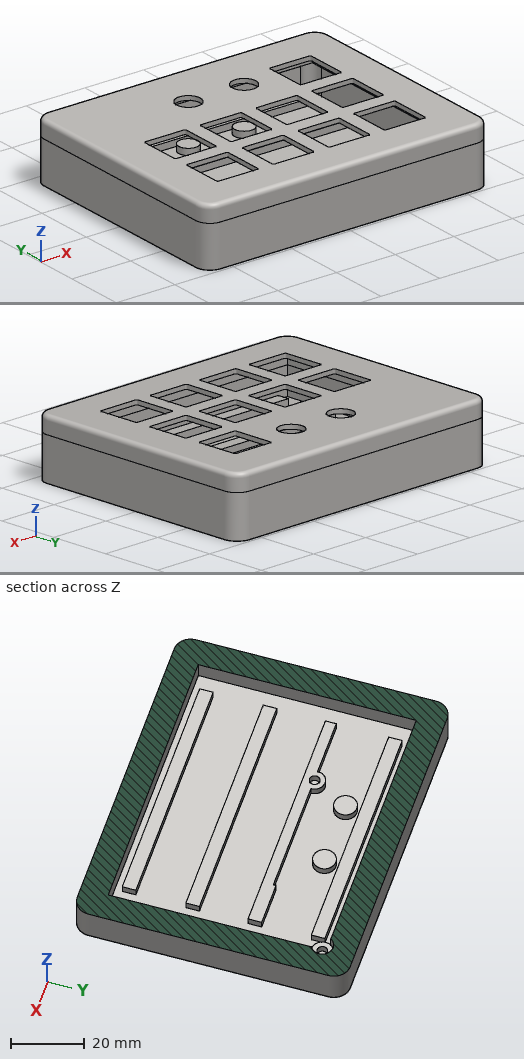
import cadquery as cq

case_length = 97.0
case_width = 78.0
case_height = 19.5
corner_radius = 4.8
top_edge_radius = 1.5
lid_height = 5.5
lid_plate = 1.5
base_height = case_height - lid_height

wall = 8.0
floor_thickness = 4.85
cavity_length = case_length - 2 * wall
cavity_width = case_width - 2 * wall

key_pitch = 19.0
window_size = 14.1
window_corner_radius = 0.5
front_row_y = -19.8
column_count = 4
column_xs = [(column - (column_count - 1) / 2) * key_pitch for column in range(column_count)]
middle_row_y = front_row_y + key_pitch
back_row_y = middle_row_y + key_pitch

light_hole_diameter = 8.0
light_post_diameter = 6.5
light_y = 20.8
light_positions = [(x, light_y) for x in column_xs[1:3]]

support_height = 2.1
support_top = floor_thickness + support_height
rail_length = 69.8
rail_width = 3.9
narrow_rail_width = 3.1
outer_rail_inner_y = 25.0
front_key_rail_y = -8.8
back_key_rail_front_y = 7.0
rail_pad_start_x = 21.8
rail_pad_width = 3.9

boss_diameter = 6.0
boss_bore_diameter = 2.9
corner_boss = (39.1, 29.5)
inner_boss = (-15.0, 10.2)


def block(x_min, x_max, y_min, y_max, z_min, height):
    """A box given by its X and Y limits, its underside and its height."""
    return (
        cq.Workplane("XY", origin=((x_min + x_max) / 2, (y_min + y_max) / 2, z_min))
        .box(x_max - x_min, y_max - y_min, height, centered=(True, True, False))
    )


def cylinders(points, diameter, z_min, height):
    """Upright cylinders of one size, standing at the given points."""
    return cq.Workplane("XY").workplane(offset=z_min).pushPoints(points).circle(diameter / 2).extrude(height)


def case_block(z_min, height):
    """A slice of the round-cornered outer case."""
    return (
        cq.Workplane("XY", origin=(0, 0, z_min))
        .box(case_length, case_width, height, centered=(True, True, False))
        .edges("|Z").fillet(corner_radius)
    )


def cavity(z_min, height):
    """Cutter for a slice of the rectangular inner space."""
    return block(-cavity_length / 2, cavity_length / 2, -cavity_width / 2, cavity_width / 2, z_min, height)


def key_windows():
    """Cutters for the square key windows."""
    centers = [(x, y) for y in (front_row_y, middle_row_y) for x in column_xs]
    centers.append((column_xs[-1], back_row_y))
    return (
        cq.Workplane("XY", origin=(0, 0, base_height))
        .pushPoints(centers)
        .rect(window_size, window_size)
        .extrude(lid_height)
        .edges("|Z").fillet(window_corner_radius)
    )


def make_lid():
    lid = case_block(base_height, lid_height).faces(">Z").edges().fillet(top_edge_radius)
    lid = lid.cut(cavity(base_height, lid_height - lid_plate))
    lid = lid.cut(key_windows())
    return lid.cut(cylinders(light_positions, light_hole_diameter, base_height, lid_height))


def support_rails():
    """Rails across the cavity floor, with a wider pad at the end of the narrow one."""
    half_length = rail_length / 2
    outer_rail_outer_y = outer_rail_inner_y + rail_width
    back_key_rail_rear_y = back_key_rail_front_y + narrow_rail_width
    rail_limits = [
        (-outer_rail_outer_y, -outer_rail_inner_y),
        (front_key_rail_y - rail_width / 2, front_key_rail_y + rail_width / 2),
        (back_key_rail_front_y, back_key_rail_rear_y),
        (outer_rail_inner_y, outer_rail_outer_y),
    ]
    rails = block(
        rail_pad_start_x, half_length,
        back_key_rail_front_y, back_key_rail_front_y + rail_pad_width,
        floor_thickness, support_height,
    )
    for y_min, y_max in rail_limits:
        rails = rails.union(block(-half_length, half_length, y_min, y_max, floor_thickness, support_height))
    return rails


def make_base():
    bosses = [corner_boss, inner_boss]
    base = case_block(0, base_height)
    base = base.cut(cavity(floor_thickness, base_height - floor_thickness))
    base = base.union(support_rails())
    base = base.union(cylinders(light_positions, light_post_diameter, floor_thickness, support_height))
    base = base.union(cylinders(bosses, boss_diameter, floor_thickness, support_height))
    base = base.cut(cylinders([corner_boss], boss_diameter, support_top, base_height - support_top))
    return base.cut(cylinders(bosses, boss_bore_diameter, floor_thickness, support_height))


lid = make_lid()
base = make_base()

result = cq.Compound.makeCompound([lid.val(), base.val()])